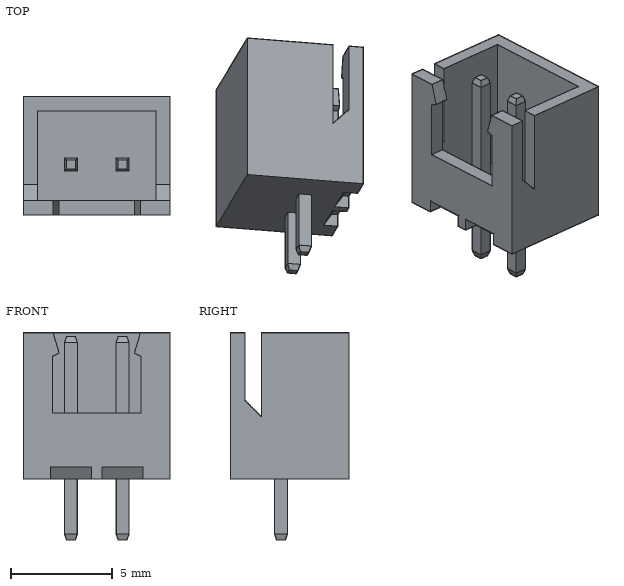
import cadquery as cq
import math


body_width = 7.21
body_height = 7.21
front_y = -2.49
back_y = 3.35
body_depth = back_y - front_y
side_wall = 0.69
end_wall = 0.72
floor_thickness = 0.68

pin_pitch = 2.54
pin_size = 0.64
pin_tip_size = 0.43
pin_tip_length = 0.3
pin_below_body = 3.0
pin_below_rim = 0.2
pin_positions = (-pin_pitch / 2, pin_pitch / 2)

window_half_width = 2.17
window_sill_z = 3.26
tooth_rim_half_width = 2.15
tooth_tip_half_width = 1.85
tooth_tip_below_rim = 1.01
tooth_base_below_rim = 1.17

slot_width = 0.80
slot_bottom_z = 3.08
slot_slope_angle = 45.0

relief_width = 2.01
relief_height = 0.61
relief_depth = end_wall
relief_slope_angle = 56.0


def make_housing():
    """Box with a rectangular cavity open at the top."""
    block = cq.Workplane("XY").box(body_width, body_depth, body_height, centered=(True, False, False))
    cavity = cq.Workplane("XY").box(
        body_width - 2 * side_wall,
        body_depth - 2 * end_wall,
        body_height - floor_thickness,
        centered=(True, False, False),
    )
    block = block.translate((0, front_y, 0))
    return block.cut(cavity.translate((0, front_y + end_wall, floor_thickness)))


def make_window():
    """Opening through the front wall, narrowed near the rim by the latch teeth."""
    right_jamb = [
        (window_half_width, window_sill_z),
        (window_half_width, body_height - tooth_base_below_rim),
        (tooth_tip_half_width, body_height - tooth_tip_below_rim),
        (tooth_rim_half_width, body_height),
    ]
    left_jamb = [(-x, z) for x, z in reversed(right_jamb)]
    window = cq.Workplane("XZ").polyline(right_jamb + left_jamb).close().extrude(end_wall)
    return window.translate((0, front_y + end_wall, 0))


def make_side_slots():
    """Slot through both side walls, its bottom rising toward the front wall."""
    slot_front_y = front_y + end_wall
    slot_back_y = slot_front_y + slot_width
    slope_rise = slot_width * math.tan(math.radians(slot_slope_angle))
    profile = [
        (slot_front_y, slot_bottom_z + slope_rise),
        (slot_back_y, slot_bottom_z),
        (slot_back_y, body_height),
        (slot_front_y, body_height),
    ]
    return cq.Workplane("YZ").polyline(profile).close().extrude(body_width / 2, both=True)


def make_relief(x):
    """Relief within the front wall, centred on a pin, with a flat roof and a sloped inner end."""
    slope_run = relief_height / math.tan(math.radians(relief_slope_angle))
    profile = [
        (front_y, 0),
        (front_y + relief_depth, 0),
        (front_y + relief_depth - slope_run, relief_height),
        (front_y, relief_height),
    ]
    relief = cq.Workplane("YZ").polyline(profile).close().extrude(relief_width / 2, both=True)
    return relief.translate((x, 0, 0))


def make_pin_tip(base_z, direction):
    """Tapered pin end that narrows along +Z (direction 1) or -Z (direction -1)."""
    return (
        cq.Workplane("XY", origin=(0, 0, base_z))
        .rect(pin_size, pin_size)
        .workplane(offset=direction * pin_tip_length)
        .rect(pin_tip_size, pin_tip_size)
        .loft(ruled=True)
    )


def make_pin(x):
    """Square pin with a tapered tip at each end."""
    shank_bottom_z = pin_tip_length - pin_below_body
    shank_top_z = body_height - pin_below_rim - pin_tip_length
    shank_length = shank_top_z - shank_bottom_z
    shank = cq.Workplane("XY").box(pin_size, pin_size, shank_length, centered=(True, True, False))
    pin = shank.translate((0, 0, shank_bottom_z))
    pin = pin.union(make_pin_tip(shank_top_z, 1))
    pin = pin.union(make_pin_tip(shank_bottom_z, -1))
    return pin.translate((x, 0, 0))


result = make_housing().cut(make_window()).cut(make_side_slots())
for pin_x in pin_positions:
    result = result.cut(make_relief(pin_x))
for pin_x in pin_positions:
    result = result.union(make_pin(pin_x))